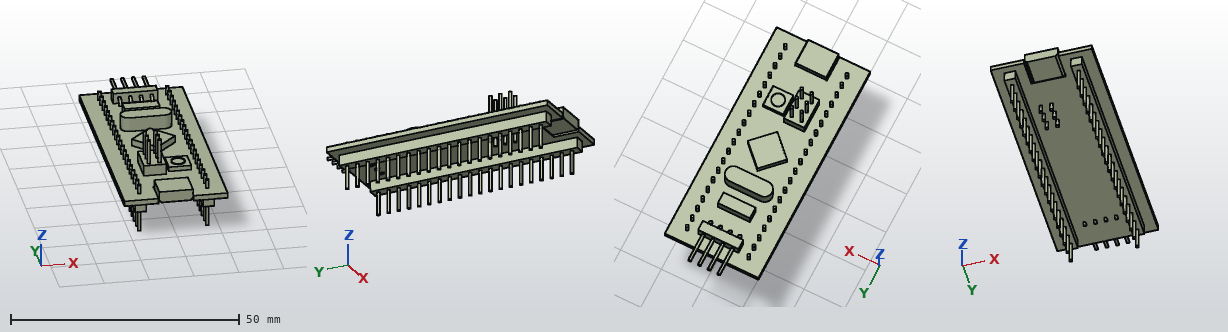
import cadquery as cq

total_length = 57.8

board_width = 23.0
board_length = 54.15
board_thickness = 1.2
board_top = board_thickness
notch_width = 7.85

usb_width = 7.5
usb_length = 6.1
usb_bottom = 0.2
usb_rise = 1.55
usb_top = board_top + usb_rise
usb_chamfer = 0.5

pin_diameter = 0.7
pin_length = 11.05

row_spacing = 15.15
row_pin_count = 20
row_span = 47.5
row_pitch = row_span / (row_pin_count - 1)
row_first_y = 3.5
row_pin_bottom = -7.85
strip_width = 2.5
strip_height = 2.5
strip_front = 1.6
strip_back = 52.4

block_height = 2.4
header_pitch = 2.4
program_columns = 2
program_rows = 3
program_block_width = 5.0
program_block_length = 7.35
program_x = -2.5
program_y = 15.45
program_pin_bottom = -1.9

angled_pin_count = 4
angled_span = 7.15
angled_pitch = angled_span / (angled_pin_count - 1)
angled_block_width = 9.95
angled_block_length = 2.35
angled_block_front = 48.55
bend_radius = 1.2

regulator_width = 7.85
regulator_length = 2.8
regulator_y = 41.95
crystal_width = 11.4
crystal_length = 3.7
crystal_height = 3.3
crystal_y = 36.05
chip_side = 6.8
chip_height = 1.55
chip_y = 27.1
chip_turn = 45
button_x = 3.3
button_y = 15.45
button_side = 4.95
button_base_height = 1.05
button_diameter = 3.05
button_travel = 0.2


def box(width, length, bottom, top, x, y):
    """Upright block centred on (x, y)."""
    plan = cq.Workplane("XY", origin=(x, y, bottom)).rect(width, length)
    return plan.extrude(top - bottom)


def pin(x, y, bottom):
    """Upright round pin of the common length."""
    return cq.Workplane("XY", origin=(x, y, bottom)).circle(pin_diameter / 2).extrude(pin_length)


def centred(index, count, pitch):
    """Offset of one item in an evenly spaced row centred on zero."""
    return (index - (count - 1) / 2) * pitch


def make_board():
    board = box(board_width, board_length, 0, board_top, 0, board_length / 2)
    return board.cut(box(notch_width, usb_length, 0, board_top, 0, usb_length / 2))


def make_usb_socket():
    socket = box(usb_width, usb_length, usb_bottom, usb_top, 0, usb_length / 2)
    return socket.edges("|Y and <Z").chamfer(usb_chamfer)


def make_side_header(x):
    strip_length = strip_back - strip_front
    header = box(strip_width, strip_length, -strip_height, 0, x, (strip_front + strip_back) / 2)
    for index in range(row_pin_count):
        header = header.union(pin(x, row_first_y + index * row_pitch, row_pin_bottom))
    return header


def make_program_header():
    header = box(
        program_block_width, program_block_length, board_top, board_top + block_height, program_x, program_y
    )
    for column in range(program_columns):
        for row in range(program_rows):
            x = program_x + centred(column, program_columns, header_pitch)
            y = program_y + centred(row, program_rows, header_pitch)
            header = header.union(pin(x, y, program_pin_bottom))
    return header


def make_angled_pin(x):
    axis_z = board_top + bend_radius
    path = (
        cq.Workplane("YZ", origin=(x, 0, 0))
        .moveTo(total_length, axis_z)
        .lineTo(angled_block_front, axis_z)
        .threePointArc(
            (angled_block_front - bend_radius, board_top),
            (angled_block_front, board_top - bend_radius),
        )
    )
    section = cq.Workplane("XZ", origin=(x, total_length, axis_z)).circle(pin_diameter / 2)
    return section.sweep(path)


def make_angled_header():
    block_y = angled_block_front + angled_block_length / 2
    header = box(angled_block_width, angled_block_length, board_top, board_top + block_height, 0, block_y)
    for index in range(angled_pin_count):
        header = header.union(make_angled_pin(centred(index, angled_pin_count, angled_pitch)))
    return header


def make_regulator():
    return box(regulator_width, regulator_length, board_top, board_top + block_height, 0, regulator_y)


def make_crystal():
    plan = cq.Workplane("XY", origin=(0, crystal_y, board_top)).slot2D(crystal_width, crystal_length)
    return plan.extrude(crystal_height)


def make_chip():
    plan = cq.Workplane("XY", origin=(0, chip_y, board_top)).transformed(rotate=(0, 0, chip_turn))
    return plan.rect(chip_side, chip_side).extrude(chip_height)


def make_button():
    base_top = board_top + button_base_height
    base = box(button_side, button_side, board_top, base_top, button_x, button_y)
    return base.faces(">Z").workplane().circle(button_diameter / 2).extrude(button_travel)


result = make_board()
for part in (
    make_usb_socket(),
    make_side_header(-row_spacing / 2),
    make_side_header(row_spacing / 2),
    make_program_header(),
    make_angled_header(),
    make_regulator(),
    make_crystal(),
    make_chip(),
    make_button(),
):
    result = result.union(part)